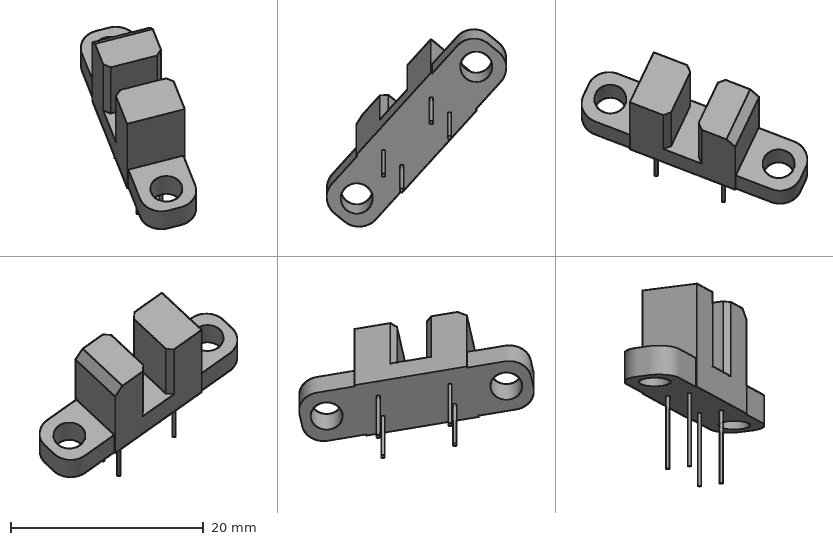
import cadquery as cq

flange_length = 24.5
flange_width = 6.0
flange_height = 3.1
corner_radius = 2.3
hole_diameter = 3.3
hole_spacing = 19.0

housing_length = 11.9
housing_width = 6.3
housing_height = 11.1
top_chamfer = 1.0
slot_width = 3.1
slot_edge_chamfer = 0.61

lead_diameter = 0.4
lead_length = 7.8
lead_spacing_x = 7.6
lead_spacing_y = 2.5


def make_flange():
    """Rounded plate with a mounting hole at each end, resting on Z = 0."""
    plate = cq.Workplane("XY").box(
        flange_length, flange_width, flange_height, centered=(True, True, False)
    )
    plate = plate.edges("|Z").fillet(corner_radius)
    return plate.faces(">Z").workplane().rarray(hole_spacing, 0.25, 2, 1).hole(hole_diameter)


def make_slot_cutter():
    """Vertical slot through the width, flared at both mouths by chamfers."""
    half_slot = slot_width / 2
    half_mouth = half_slot + slot_edge_chamfer
    half_width = housing_width / 2
    flare_start = half_width - slot_edge_chamfer
    outline = [
        (-half_mouth, -half_width),
        (half_mouth, -half_width),
        (half_slot, -flare_start),
        (half_slot, flare_start),
        (half_mouth, half_width),
        (-half_mouth, half_width),
        (-half_slot, flare_start),
        (-half_slot, -flare_start),
    ]
    slot_depth = housing_height - flange_height
    return cq.Workplane("XY", origin=(0, 0, flange_height)).polyline(outline).close().extrude(slot_depth)


def make_housing():
    """Block with one chamfered top edge, slotted down to the flange top."""
    block = cq.Workplane("XY").box(
        housing_length, housing_width, housing_height, centered=(True, True, False)
    )
    block = block.faces(">Z").edges("<X").chamfer(top_chamfer)
    return block.cut(make_slot_cutter())


def make_leads():
    """Four round leads hanging below the housing."""
    return (
        cq.Workplane("XY")
        .rarray(lead_spacing_x, lead_spacing_y, 2, 2)
        .circle(lead_diameter / 2)
        .extrude(-lead_length)
    )


result = make_flange().union(make_housing()).union(make_leads())